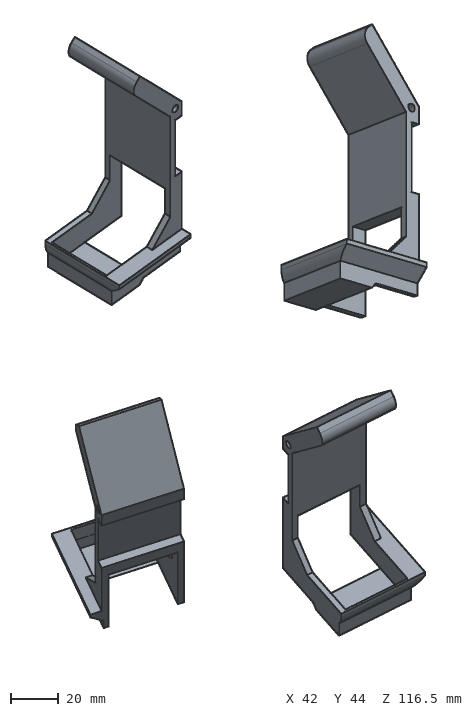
import cadquery as cq
import math


total_width = 42.0
total_depth = 44.0
total_height = 116.5

plate_width = 37.0
plate_front = 7.1
recess_depth = 4.0
recess_bottom = 47.2
recess_top = 78.2
hinge_top = 86.0
pin_diameter = 3.5
pin_depth = 4.1
pin_height = 84.6

arm_tip_depth = 25.8
arm_thickness = 8.0
arm_tip_radius = 5.2

tray_top = 15.5
tray_width = 36.0
gusset_size = 11.2
tray_underside = 2.5
foot_start = 22.6
front_wall_depth = 42.4

lip_edge_bottom = 13.4
lip_foot = 7.8

opening_left = 2.8
opening_right = 33.8
opening_top = 40.5
opening_front = 43.0
opening_floor_front = 41.1

arm_rise = total_height - hinge_top
arm_length = math.hypot(arm_tip_depth, arm_rise)
along = (arm_tip_depth / arm_length, arm_rise / arm_length)
across = (along[1], -along[0])
hinge_front = hinge_top + (plate_front * along[1] - arm_thickness) / along[0]

lip_drop = lip_edge_bottom - lip_foot
lip_reach = total_depth - front_wall_depth
lip_radius = (lip_drop**2 + lip_reach**2) / (2 * lip_reach)


def side_profile(x):
    """Sketch plane at the given X: first axis is depth from the back, second is height."""
    return cq.Workplane(cq.Plane(origin=(x, 0, 0), xDir=(0, -1, 0), normal=(-1, 0, 0)))


def lip_point(height):
    """Point on the lip curve at a height; the curve starts vertical at the lip's edge."""
    drop = lip_edge_bottom - height
    return (total_depth - lip_radius + math.sqrt(lip_radius**2 - drop**2), height)


def make_tray():
    arc_middle_height = (lip_edge_bottom + lip_foot) / 2
    block = (
        side_profile(total_width)
        .moveTo(0, tray_underside)
        .lineTo(foot_start, tray_underside)
        .lineTo(foot_start + tray_underside, 0)
        .lineTo(front_wall_depth, 0)
        .lineTo(front_wall_depth, lip_foot)
        .threePointArc(lip_point(arc_middle_height), (total_depth, lip_edge_bottom))
        .lineTo(total_depth, tray_top)
        .lineTo(0, tray_top)
        .close()
        .extrude(total_width)
    )
    cross_section = (
        cq.Workplane("XZ")
        .polyline([
            (0, 0),
            (tray_width, 0),
            (tray_width, lip_foot),
            (total_width, lip_edge_bottom),
            (total_width, tray_top),
            (0, tray_top),
        ])
        .close()
        .extrude(total_depth)
    )
    return block.intersect(cross_section)


def make_back_plate():
    return (
        side_profile(plate_width)
        .polyline([
            (0, lip_edge_bottom),
            (0, recess_bottom),
            (recess_depth, recess_bottom),
            (recess_depth, recess_top),
            (0, recess_top),
            (0, hinge_front),
            (plate_front, hinge_front),
            (plate_front, tray_top + gusset_size),
            (plate_front + gusset_size, tray_top),
            (plate_front + gusset_size, lip_edge_bottom),
        ])
        .close()
        .extrude(plate_width)
    )


def make_arm():
    corner = (arm_tip_depth + arm_thickness * across[0], total_height + arm_thickness * across[1])

    def from_corner(back, inward):
        return (
            corner[0] - back * along[0] - inward * across[0],
            corner[1] - back * along[1] - inward * across[1],
        )

    radius = arm_tip_radius
    arc_inset = radius * (1 - math.sqrt(0.5))
    return (
        side_profile(plate_width)
        .moveTo(0, hinge_top)
        .lineTo(arm_tip_depth, total_height)
        .lineTo(*from_corner(0, radius))
        .threePointArc(from_corner(arc_inset, arc_inset), from_corner(radius, 0))
        .lineTo(plate_front, hinge_front)
        .lineTo(0, hinge_front)
        .close()
        .extrude(plate_width)
    )


def make_opening():
    """Cavity with a front wall leaning out under the lip; it leaves the foot as a floor."""
    return (
        side_profile(opening_right)
        .polyline([
            (0, tray_underside),
            (opening_floor_front, tray_underside),
            (opening_front, tray_top),
            (opening_front, opening_top),
            (0, opening_top),
        ])
        .close()
        .extrude(opening_right - opening_left)
    )


def make_pin_hole():
    return (
        side_profile(plate_width)
        .center(pin_depth, pin_height)
        .circle(pin_diameter / 2)
        .extrude(plate_width)
    )


result = (
    make_tray()
    .union(make_back_plate())
    .union(make_arm())
    .cut(make_opening())
    .cut(make_pin_hole())
)